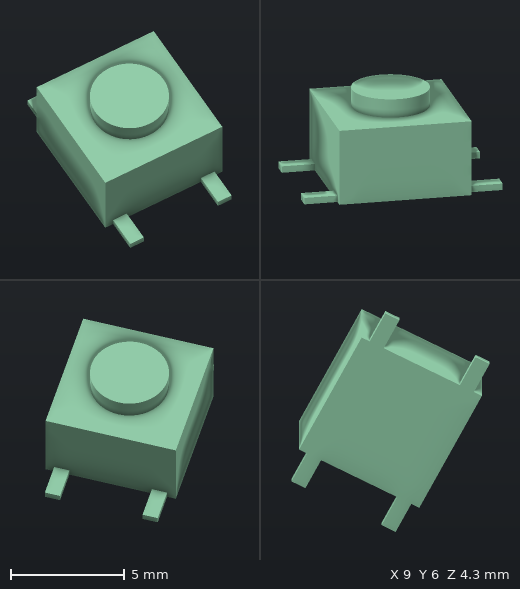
import cadquery as cq

housing_side = 6.0
total_height = 4.3
button_height = 0.85
housing_height = total_height - button_height

button_diameter = 3.5

terminal_span = 9.0
terminal_length = (terminal_span - housing_side) / 2
terminal_width = 0.7
terminal_thickness = 0.3
terminal_pitch = 4.5


def make_housing():
    """Plain block, centred on Z with its underside at Z = 0."""
    return cq.Workplane("XY").box(
        housing_side, housing_side, housing_height, centered=(True, True, False)
    )


def make_button():
    """Disc resting on the top face of the housing."""
    return (
        cq.Workplane("XY")
        .workplane(offset=housing_height)
        .circle(button_diameter / 2)
        .extrude(button_height)
    )


def make_terminal(x_side, y_side):
    """Flat bar against the housing side; x_side and y_side are -1 or 1."""
    x_centre = x_side * (housing_side + terminal_length) / 2
    y_centre = y_side * terminal_pitch / 2
    return (
        cq.Workplane("XY")
        .box(terminal_length, terminal_width, terminal_thickness, centered=(True, True, False))
        .translate((x_centre, y_centre, 0))
    )


housing = make_housing()
button = make_button()
terminals = [make_terminal(x_side, y_side) for x_side in (-1, 1) for y_side in (-1, 1)]

result = cq.Compound.makeCompound(
    [housing.val(), button.val(), *[terminal.val() for terminal in terminals]]
)